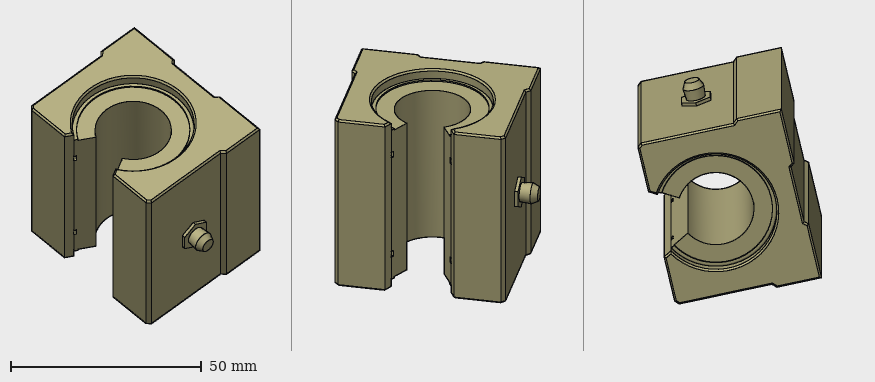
import cadquery as cq
import math


HOUSING_LENGTH = 50.0
BASE_WIDTH = 48.0
BODY_WIDTH = 45.8
BASE_FACE_Y = 23.0
OPEN_FACE_Y = -16.0
SHOULDER_Y = 9.9
STEP_WIDTH = (BASE_WIDTH - BODY_WIDTH) / 2
OPEN_CORNER_CHAMFER = 1.05
RELIEF_FLOOR_WIDTH = 15.6
RELIEF_DEPTH = 1.05
RELIEF_SIDE_RUN = 0.85
END_CHAMFER = 0.5

OPENING_ANGLE = 60.0

BUSHING_LENGTH = 45.0
BUSHING_RADIUS = 16.0
SHAFT_RADIUS = 10.0
BUSHING_END_ROUND = 0.5
END_RECESS_RADIUS = 14.85
END_RECESS_DEPTH = 0.4
RING_GROOVE_RADIUS = 15.25
RING_GROOVE_WIDTH = 1.6
RING_GROOVE_SPAN = 31.5

NIPPLE_END_X = 28.58
HEX_ACROSS_FLATS = 7.75
HEX_THICKNESS = 0.9
NECK_RADIUS = 2.55
HEAD_RADIUS = 2.78
TIP_RADIUS = 1.9
HEAD_TAPER_LENGTH = 1.8


def opening_wedge():
    """Wedge from the axis toward -Y that opens both the housing and the bushing."""
    reach = 2 * abs(OPEN_FACE_Y)
    half_width = reach * math.tan(math.radians(OPENING_ANGLE / 2))
    return (
        cq.Workplane("XY")
        .polyline([(0, 0), (-half_width, -reach), (half_width, -reach)])
        .close()
        .extrude(HOUSING_LENGTH / 2, both=True)
    )


def make_housing():
    """T-shaped block with a relieved base face, a through bore and chamfered ends."""
    half_base = BASE_WIDTH / 2
    half_body = BODY_WIDTH / 2
    half_relief = RELIEF_FLOOR_WIDTH / 2
    right_side = [
        (half_relief, BASE_FACE_Y - RELIEF_DEPTH),
        (half_relief + RELIEF_SIDE_RUN, BASE_FACE_Y),
        (half_base, BASE_FACE_Y),
        (half_base, SHOULDER_Y + STEP_WIDTH),
        (half_body, SHOULDER_Y),
        (half_body, OPEN_FACE_Y + OPEN_CORNER_CHAMFER),
        (half_body - OPEN_CORNER_CHAMFER, OPEN_FACE_Y),
    ]
    left_side = [(-x, y) for x, y in reversed(right_side)]
    block = cq.Workplane("XY").polyline(right_side + left_side).close().extrude(HOUSING_LENGTH / 2, both=True)
    bore = cq.Workplane("XY").circle(BUSHING_RADIUS).extrude(HOUSING_LENGTH / 2, both=True)
    return block.cut(bore).cut(opening_wedge()).faces("|Z").chamfer(END_CHAMFER)


def make_bushing():
    """Open sleeve with rounded, recessed ends and two retaining-ring grooves."""
    sleeve = (
        cq.Workplane("XY")
        .circle(BUSHING_RADIUS)
        .extrude(BUSHING_LENGTH / 2, both=True)
        .faces("|Z")
        .fillet(BUSHING_END_ROUND)
    )
    shaft_hole = cq.Workplane("XY").circle(SHAFT_RADIUS).extrude(BUSHING_LENGTH / 2, both=True)
    sleeve = sleeve.cut(shaft_hole)

    recess_offset = (BUSHING_LENGTH - END_RECESS_DEPTH) / 2
    groove_offset = (RING_GROOVE_SPAN - RING_GROOVE_WIDTH) / 2
    for side in (-1, 1):
        recess = (
            cq.Workplane("XY", origin=(0, 0, side * recess_offset))
            .circle(END_RECESS_RADIUS)
            .extrude(END_RECESS_DEPTH / 2, both=True)
        )
        groove = (
            cq.Workplane("XY", origin=(0, 0, side * groove_offset))
            .circle(BUSHING_RADIUS)
            .circle(RING_GROOVE_RADIUS)
            .extrude(RING_GROOVE_WIDTH / 2, both=True)
        )
        sleeve = sleeve.cut(recess).cut(groove)
    return sleeve.cut(opening_wedge())


def make_nipple():
    """Grease nipple along +X: a hexagon seated on the housing side, with a turned head."""
    seat_x = BODY_WIDTH / 2
    hex_end_x = seat_x + HEX_THICKNESS
    head_x = NIPPLE_END_X - HEAD_TAPER_LENGTH
    across_corners = HEX_ACROSS_FLATS / math.cos(math.radians(30))
    hex_plane = cq.Plane(origin=(seat_x, 0, 0), xDir=(0, 0, 1), normal=(1, 0, 0))
    hexagon = cq.Workplane(hex_plane).polygon(6, across_corners).extrude(HEX_THICKNESS)
    head = (
        cq.Workplane("XZ")
        .polyline(
            [
                (seat_x, 0),
                (seat_x, NECK_RADIUS),
                (hex_end_x, NECK_RADIUS),
                (head_x, HEAD_RADIUS),
                (NIPPLE_END_X, TIP_RADIUS),
                (NIPPLE_END_X, 0),
            ]
        )
        .close()
        .revolve(360, (0, 0, 0), (1, 0, 0))
    )
    return hexagon.union(head)


housing = make_housing()
bushing = make_bushing()
nipple = make_nipple()

result = cq.Compound.makeCompound([housing.solids().val(), bushing.solids().val(), nipple.solids().val()])